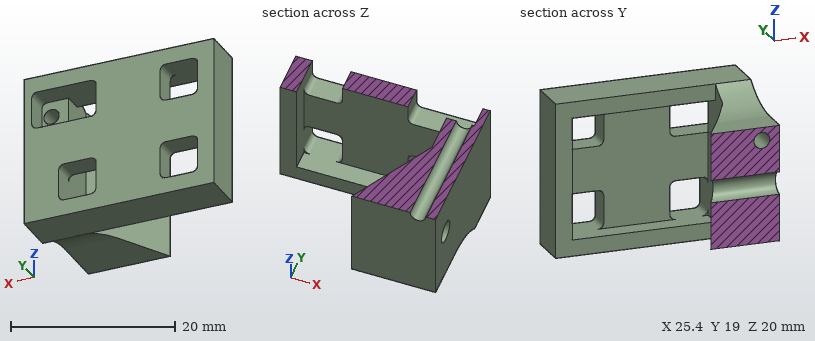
import cadquery as cq
import math

length = 25.35
depth = 19.0
height = 20.0

plate_thickness = 5.5
plate_front = depth - plate_thickness
pocket_left = 2.18
pocket_depth = 2.5
pocket_height = 15.77

window_size = 5.0
window_corner_radius = 0.75
end_wall = 1.01

arm_thickness = 4.61
arm_left = length - arm_thickness
tip_width = 10.95
tip_angle = 30.0
arm_height = 15.0
neck_radius = 10.0

front_hole_diameter = 2.0
front_hole_x = 23.05
front_hole_z = 5.8
side_hole_diameter = 2.85
side_hole_y = 3.47


def box(x_start, x_end, y_start, y_end, box_height):
    """Block centred on mid-height."""
    return (
        cq.Workplane("XY")
        .box(x_end - x_start, y_end - y_start, box_height, centered=(False, False, True))
        .translate((x_start, y_start, 0))
    )


def make_plate():
    plate = box(0, length, plate_front, depth, height)
    pocket = box(pocket_left, arm_left, plate_front, plate_front + pocket_depth, pocket_height)
    plate = plate.cut(pocket)
    window_z = (pocket_height - window_size) / 2
    left_window_end = pocket_left + window_size
    right_window_start = arm_left - window_size
    windows = (
        (pocket_left, left_window_end, -window_z),
        (pocket_left, left_window_end, window_z),
        (right_window_start, arm_left, -window_z),
        (right_window_start, length - end_wall, window_z),
    )
    for x_start, x_end, z in windows:
        window = box(x_start, x_end, plate_front + pocket_depth, depth, window_size)
        window = window.edges("|Y").fillet(window_corner_radius)
        plate = plate.cut(window.translate((0, 0, z)))
    return plate


def make_arm():
    """Wedge-tipped arm whose top and bottom flare in arcs to the plate height."""
    taper_length = (tip_width - arm_thickness) / math.tan(math.radians(tip_angle))
    plan = (
        cq.Workplane("XY")
        .workplane(offset=-height / 2)
        .moveTo(length, 0)
        .lineTo(length - tip_width, 0)
        .lineTo(arm_left, taper_length)
        .lineTo(arm_left, plate_front)
        .lineTo(length, plate_front)
        .close()
        .extrude(height)
    )

    half_arm = arm_height / 2
    half_plate = height / 2
    flare_angle = math.acos(1 - (half_plate - half_arm) / neck_radius)
    flare_start = plate_front - neck_radius * math.sin(flare_angle)
    mid_y = flare_start + neck_radius * math.sin(flare_angle / 2)
    mid_z = half_arm + neck_radius * (1 - math.cos(flare_angle / 2))
    side_profile = (
        cq.Workplane("YZ")
        .moveTo(0, -half_arm)
        .lineTo(flare_start, -half_arm)
        .threePointArc((mid_y, -mid_z), (plate_front, -half_plate))
        .lineTo(plate_front, half_plate)
        .threePointArc((mid_y, mid_z), (flare_start, half_arm))
        .lineTo(0, half_arm)
        .close()
        .extrude(length)
    )
    return plan.intersect(side_profile)


def make_holes():
    front_hole = (
        cq.Workplane("XZ")
        .center(front_hole_x, front_hole_z)
        .circle(front_hole_diameter / 2)
        .extrude(-depth)
    )
    side_hole = (
        cq.Workplane("YZ")
        .center(side_hole_y, 0)
        .circle(side_hole_diameter / 2)
        .extrude(length)
    )
    return front_hole.union(side_hole)


result = make_plate().union(make_arm()).cut(make_holes())